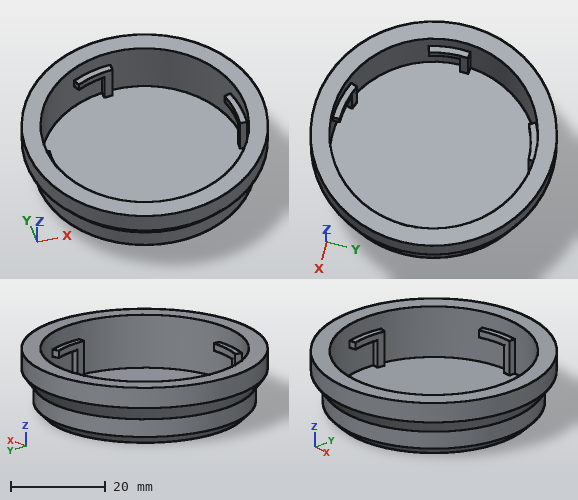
import cadquery as cq
import math

rim_radius = 26.0
neck_radius = 23.5
base_chamfer = 2.0
neck_top = 5.95
rim_bottom = 9.25
total_height = 13.8

recess_radius = 22.0
floor_thickness = 2.0

hook_depth = 1.5
hook_height = 8.0
bar_thickness = 1.6
bar_angle = 23.4
post_angle = 5.0
hook_start_angles = (-5.1, 92.8, 174.4, 247.3)
wall_overlap = 0.5


def polar(radius, angle):
    """Point at a radius and an angle in degrees."""
    return (radius * math.cos(math.radians(angle)), radius * math.sin(math.radians(angle)))


def ring_sector(start, sweep, bottom, top):
    """Radial-ended block against the recess wall, between two heights."""
    inner = recess_radius - hook_depth
    outer = recess_radius + wall_overlap
    middle = start + sweep / 2
    end = start + sweep
    return (
        cq.Workplane("XY", origin=(0, 0, bottom))
        .moveTo(*polar(inner, start))
        .lineTo(*polar(outer, start))
        .threePointArc(polar(outer, middle), polar(outer, end))
        .lineTo(*polar(inner, end))
        .threePointArc(polar(inner, middle), polar(inner, start))
        .close()
        .extrude(top - bottom)
    )


def make_body():
    """Cup with a bevelled base, a neck and a flared rim."""
    profile = [
        (0, 0),
        (neck_radius - base_chamfer, 0),
        (neck_radius, base_chamfer),
        (neck_radius, neck_top),
        (rim_radius, rim_bottom),
        (rim_radius, total_height),
        (recess_radius, total_height),
        (recess_radius, floor_thickness),
        (0, floor_thickness),
    ]
    return cq.Workplane("XZ").polyline(profile).close().revolve(360, (0, 0, 0), (0, 1, 0))


def make_hook(start):
    """L-shaped hook whose post stands on the recess floor."""
    hook_top = floor_thickness + hook_height
    bar = ring_sector(start, bar_angle, hook_top - bar_thickness, hook_top)
    post = ring_sector(start, post_angle, floor_thickness, hook_top)
    return bar.union(post)


result = make_body()
for start_angle in hook_start_angles:
    result = result.union(make_hook(start_angle))